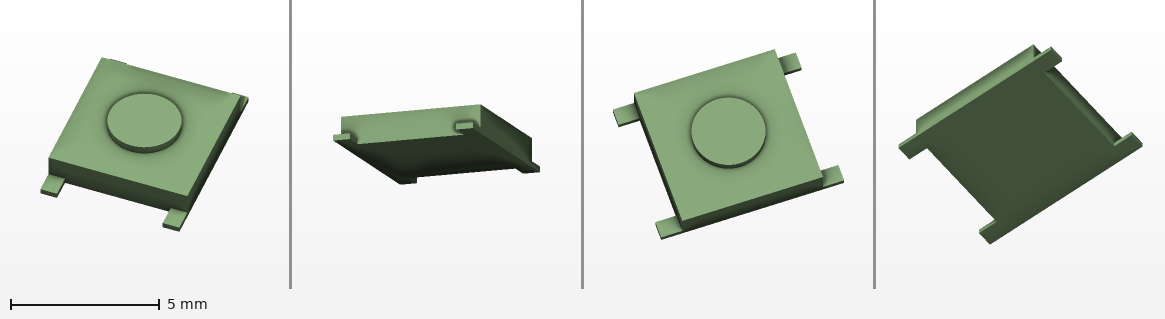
import cadquery as cq

overall_length = 6.5
overall_height = 1.3
body_side = 5.0
body_height = 1.0
button_diameter = 2.49
lead_width = 0.6
lead_thickness = 0.2

button_height = overall_height - body_height
lead_offset = (body_side - lead_width) / 2


def make_body():
    """Square housing resting on Z = 0."""
    return cq.Workplane("XY").box(body_side, body_side, body_height, centered=(True, True, False))


def make_button():
    """Round button on top of the housing."""
    top = cq.Workplane("XY").workplane(offset=body_height)
    return top.circle(button_diameter / 2).extrude(button_height)


def make_lead_strip(side):
    """Flat strip under one X side, forming a lead at each end of the housing."""
    strip = cq.Workplane("XY").box(
        lead_width, overall_length, lead_thickness, centered=(True, True, False)
    )
    return strip.translate((side * lead_offset, 0, 0))


result = make_body().union(make_button())
for side in (-1, 1):
    result = result.union(make_lead_strip(side))